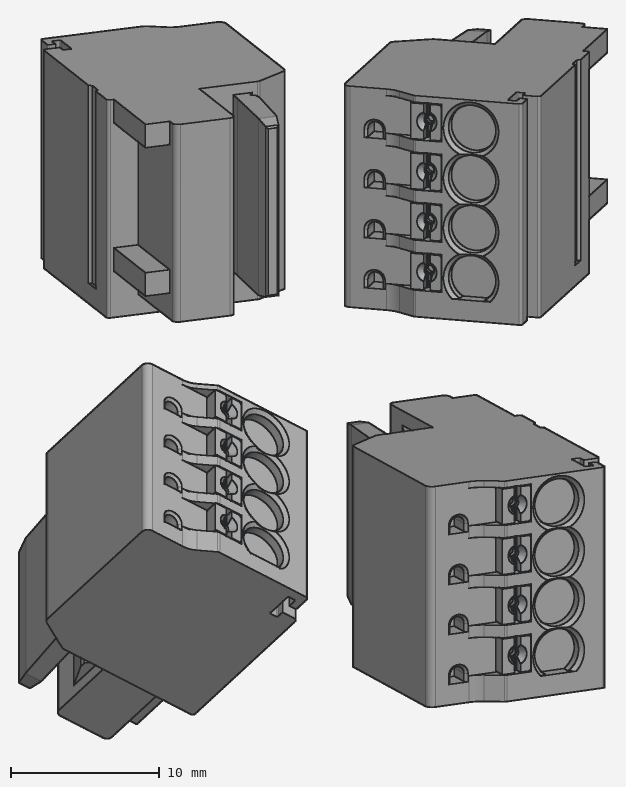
import cadquery as cq
import math

LENGTH = 20.4
DEPTH = 13.5
HEIGHT = 15.45

POLES = 4
END_WALL = 1.45
PITCH = (HEIGHT - END_WALL) / POLES
POLE_FLOORS = [END_WALL + pole * PITCH for pole in range(POLES)]

UPPER_FACE_X = 1.0
SLOPE_ANGLE = math.radians(30)
BEND_START_Y = 10.47
BEND_RADIUS = 2.0
SLOPE_TOE_RADIUS = 0.35
TOP_FRONT_RADIUS = 0.5
BACK_X = 13.81
BACK_SLOPE_Y = 10.95
BACK_SLOPE_TOP_X = 12.32
BACK_SLOPE_RADIUS = 0.4
CORNER_RADIUS = 0.2

LIP_Y = 0.65
LIP_RADIUS = 0.12
NECK_X = (1.37, 2.15)
CAVITY_X = (0.7, 2.73)
CAVITY_Y = (1.22, 1.84)
CAVITY_RADIUS = 0.08

GROOVE_MOUTH_X = (10.38, 11.73)
GROOVE_ROOF_X = (10.53, 11.5)
GROOVE_DEPTH = 0.22

PLUG_Y = (2.22, 6.65)
PLUG_RADIUS = 0.4
RIB_END_X = 19.55
RIB_Y = 0.47
RIB_HEIGHT = 1.65
RIB_FLOORS = (3.28, HEIGHT - RIB_HEIGHT)

RAMP_X = (15.38, 16.15, 16.56, 18.35)
RAMP_RISE = 0.73
RAMP_END_GAP = 1.02

ARM_TAPER_X = 19.07
ARM_OUTLINE = [
    (BACK_X, 9.12),
    (14.65, 9.08),
    (ARM_TAPER_X, 8.81),
    (LENGTH, 8.87),
    (LENGTH, 9.77),
    (ARM_TAPER_X, 10.14),
    (15.2, 10.53),
    (14.57, 10.53),
    (14.25, 10.25),
    (14.1, 10.25),
    (BACK_X, 10.49),
]
ARM_END_GAP = 0.73
ARM_TAPER = 0.25
ARM_TIP_CHAMFER = 0.12

POCKET_FLOOR = 0.4
POCKET_HEIGHT = 2.63
INSERT_Y = (6.26, 8.45)
INSERT_GAP = 0.071
INSERT_SIDE_GAP = 0.05
INSERT_RADIUS = 0.16
CONTACT_Y = 7.3
CONE_DIAMETER = 1.39
CONE_DEPTH = 0.53
BORE_DIAMETER = 0.7
BORE_DEPTH = 0.82
PILOT_DIAMETER = 0.53
PILOT_DEPTH = 1.22
SLOT_WIDTHS = (0.45, 0.3, 0.16)
SLOT_DEPTHS = (0.57, 0.65, 0.73)

ENTRY_Y = 4.2
ENTRY_RISE = 1.4
ENTRY_DIAMETER = 3.3
ENTRY_CHAMFER = 0.29
ENTRY_DEPTH = 0.94

ARCH_Y = 11.26
ARCH_RISE = 0.57
ARCH_RADIUS = 0.53
ARCH_CHAMFER = 0.2
ARCH_DEPTH = 1.63

EDGE_REACH = 0.02


def box(x_range, y_range, z_range):
    """Axis-aligned block between the given limits."""
    return (
        cq.Workplane("XY")
        .box(x_range[1] - x_range[0], y_range[1] - y_range[0], z_range[1] - z_range[0], centered=False)
        .translate((x_range[0], y_range[0], z_range[0]))
    )


def prism(points, z_range):
    """Polygon in XY extruded between two heights."""
    outline = cq.Workplane("XY", origin=(0, 0, z_range[0])).polyline(points).close()
    return outline.extrude(z_range[1] - z_range[0])


def fillet_at(body, points, radius):
    """Round the vertical edges that pass through the given XY points."""
    for x, y in points:
        low = (x - EDGE_REACH, y - EDGE_REACH, 0)
        high = (x + EDGE_REACH, y + EDGE_REACH, HEIGHT)
        probe = cq.selectors.BoxSelector(low, high)
        body = body.edges("|Z").edges(probe).fillet(radius)
    return body


def plane_at_x(x):
    """Sketch plane facing -X whose local axes are -Y and Z."""
    return cq.Workplane(cq.Plane(origin=(x, 0, 0), xDir=(0, -1, 0), normal=(-1, 0, 0)))


def drill(face_x, y, z, diameter, depth):
    """Cylinder running in +X from the face."""
    return plane_at_x(face_x).center(-y, z).circle(diameter / 2).extrude(-depth)


def countersink(face_x, y, z, outer_diameter, inner_diameter, depth):
    """Cone running in +X from the face."""
    cone = cq.Solid.makeCone(
        outer_diameter / 2, inner_diameter / 2, depth, pnt=cq.Vector(face_x, y, z), dir=cq.Vector(1, 0, 0)
    )
    return cq.Workplane(obj=cone)


def make_housing():
    bend_x = UPPER_FACE_X - BEND_RADIUS * (1 - math.cos(SLOPE_ANGLE))
    bend_y = BEND_START_Y - BEND_RADIUS * math.sin(SLOPE_ANGLE)
    half_angle = SLOPE_ANGLE / 2
    bend_middle = (
        UPPER_FACE_X - BEND_RADIUS * (1 - math.cos(half_angle)),
        BEND_START_Y - BEND_RADIUS * math.sin(half_angle),
    )
    toe_y = bend_y - bend_x / math.tan(SLOPE_ANGLE)
    housing = (
        cq.Workplane("XY")
        .moveTo(0, LIP_Y)
        .lineTo(NECK_X[0], LIP_Y)
        .lineTo(NECK_X[0], CAVITY_Y[0])
        .lineTo(CAVITY_X[0], CAVITY_Y[0])
        .lineTo(CAVITY_X[0], CAVITY_Y[1])
        .lineTo(CAVITY_X[1], CAVITY_Y[1])
        .lineTo(CAVITY_X[1], CAVITY_Y[0])
        .lineTo(NECK_X[1], CAVITY_Y[0])
        .lineTo(NECK_X[1], 0)
        .lineTo(BACK_X, 0)
        .lineTo(BACK_X, BACK_SLOPE_Y)
        .lineTo(BACK_SLOPE_TOP_X, DEPTH)
        .lineTo(UPPER_FACE_X, DEPTH)
        .lineTo(UPPER_FACE_X, BEND_START_Y)
        .threePointArc(bend_middle, (bend_x, bend_y))
        .lineTo(0, toe_y)
        .close()
        .extrude(HEIGHT)
    )
    housing = fillet_at(housing, [(0, LIP_Y), (NECK_X[1], 0), (BACK_X, 0)], CORNER_RADIUS)
    housing = fillet_at(housing, [(NECK_X[0], LIP_Y)], LIP_RADIUS)
    cavity_corners = [(x, y) for x in CAVITY_X for y in CAVITY_Y]
    housing = fillet_at(housing, cavity_corners, CAVITY_RADIUS)
    housing = fillet_at(housing, [(BACK_SLOPE_TOP_X, DEPTH), (BACK_X, BACK_SLOPE_Y)], BACK_SLOPE_RADIUS)
    housing = fillet_at(housing, [(UPPER_FACE_X, DEPTH)], TOP_FRONT_RADIUS)
    return fillet_at(housing, [(0, toe_y)], SLOPE_TOE_RADIUS)


def make_underside_groove():
    outline = [
        (GROOVE_MOUTH_X[0], 0),
        (GROOVE_ROOF_X[0], GROOVE_DEPTH),
        (GROOVE_ROOF_X[1], GROOVE_DEPTH),
        (GROOVE_MOUTH_X[1], 0),
    ]
    return prism(outline, (END_WALL, HEIGHT))


def make_plug():
    plug = box((BACK_X, LENGTH), PLUG_Y, (END_WALL, HEIGHT))
    plug = plug.edges("|Z and >X").fillet(PLUG_RADIUS)
    for floor in RIB_FLOORS:
        plug = plug.union(box((BACK_X, RIB_END_X), (RIB_Y, PLUG_Y[0]), (floor, floor + RIB_HEIGHT)))
    foot_start, peak_start, peak_end, foot_end = RAMP_X
    peak_y = PLUG_Y[1] + RAMP_RISE
    ramp = [(foot_start, PLUG_Y[1]), (peak_start, peak_y), (peak_end, peak_y), (foot_end, PLUG_Y[1])]
    return plug.union(prism(ramp, (END_WALL + RAMP_END_GAP, HEIGHT - RAMP_END_GAP)))


def make_latch_arm():
    arm_floor = END_WALL + ARM_END_GAP
    arm_roof = HEIGHT - ARM_END_GAP
    arm = prism(ARM_OUTLINE, (arm_floor, arm_roof))
    side_profile = [
        (BACK_X, arm_floor),
        (ARM_TAPER_X, arm_floor),
        (LENGTH, arm_floor + ARM_TAPER),
        (LENGTH, arm_roof - ARM_TAPER),
        (ARM_TAPER_X, arm_roof),
        (BACK_X, arm_roof),
    ]
    envelope = cq.Workplane("XZ").polyline(side_profile).close().extrude(-DEPTH)
    return arm.intersect(envelope).faces(">X").edges().chamfer(ARM_TIP_CHAMFER)


def make_contact_pocket(floor):
    """Recess that carries the upper front face down to the contact insert."""
    pocket_floor = floor + POCKET_FLOOR
    return box((0, UPPER_FACE_X), (INSERT_Y[0], BEND_START_Y), (pocket_floor, pocket_floor + POCKET_HEIGHT))


def make_contact_insert(floor):
    insert_floor = floor + POCKET_FLOOR + INSERT_GAP
    insert_roof = floor + POCKET_FLOOR + POCKET_HEIGHT - INSERT_GAP
    y_range = (INSERT_Y[0] + INSERT_SIDE_GAP, INSERT_Y[1])
    insert = box((0, UPPER_FACE_X), y_range, (insert_floor, insert_roof))
    return insert.edges("|X and <Y").fillet(INSERT_RADIUS)


def make_contact_opening(floor):
    """Stepped, countersunk bore crossed by a stepped slot."""
    z = floor + POCKET_FLOOR + POCKET_HEIGHT / 2
    z_range = (floor + POCKET_FLOOR, floor + POCKET_FLOOR + POCKET_HEIGHT)
    opening = countersink(0, CONTACT_Y, z, CONE_DIAMETER, BORE_DIAMETER, CONE_DEPTH)
    opening = opening.union(drill(0, CONTACT_Y, z, BORE_DIAMETER, BORE_DEPTH))
    opening = opening.union(drill(0, CONTACT_Y, z, PILOT_DIAMETER, PILOT_DEPTH))
    for width, depth in zip(SLOT_WIDTHS, SLOT_DEPTHS):
        y_range = (CONTACT_Y - width / 2, CONTACT_Y + width / 2)
        opening = opening.union(box((0, depth), y_range, z_range))
    return opening


def make_wire_entry(floor):
    z = floor + ENTRY_RISE
    mouth = ENTRY_DIAMETER + 2 * ENTRY_CHAMFER
    entry = drill(0, ENTRY_Y, z, ENTRY_DIAMETER, ENTRY_DEPTH)
    entry = entry.union(countersink(0, ENTRY_Y, z, mouth, ENTRY_DIAMETER, ENTRY_CHAMFER))
    return entry.intersect(box((0, LENGTH), (0, DEPTH), (END_WALL, HEIGHT)))


def make_arch_opening(floor):
    """Flat-floored arch with a chamfered mouth around its sides and top."""
    z = floor + ARCH_RISE
    mouth = ARCH_RADIUS + ARCH_CHAMFER
    x = UPPER_FACE_X
    round_top = drill(x, ARCH_Y, z, 2 * ARCH_RADIUS, ARCH_DEPTH)
    round_top = round_top.union(countersink(x, ARCH_Y, z, 2 * mouth, 2 * ARCH_RADIUS, ARCH_CHAMFER))
    plan = [
        (x, ARCH_Y - mouth),
        (x + ARCH_CHAMFER, ARCH_Y - ARCH_RADIUS),
        (x + ARCH_DEPTH, ARCH_Y - ARCH_RADIUS),
        (x + ARCH_DEPTH, ARCH_Y + ARCH_RADIUS),
        (x + ARCH_CHAMFER, ARCH_Y + ARCH_RADIUS),
        (x, ARCH_Y + mouth),
    ]
    above_floor = box((0, LENGTH), (0, DEPTH), (floor, HEIGHT))
    return round_top.intersect(above_floor).union(prism(plan, (floor, z)))


result = make_housing().cut(make_underside_groove())
result = result.union(make_plug()).union(make_latch_arm())
for pole_floor in POLE_FLOORS:
    result = result.cut(make_contact_pocket(pole_floor))
    result = result.union(make_contact_insert(pole_floor))
    result = result.cut(make_contact_opening(pole_floor))
    result = result.cut(make_wire_entry(pole_floor))
    result = result.cut(make_arch_opening(pole_floor))